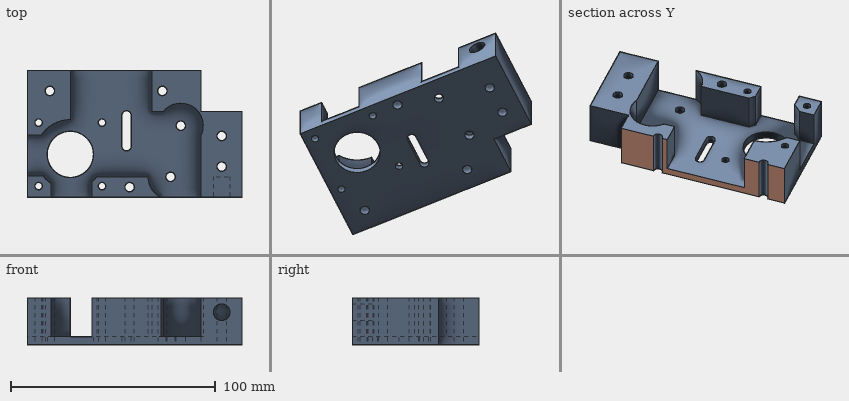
import cadquery as cq

LENGTH = 105.0
WIDTH = 62.0
HEIGHT = 23.0
FLOOR = 4.0

END_LENGTH = 20.0
END_WIDTH = 42.0
END_X = LENGTH - END_LENGTH

MOTOR_X = 21.0
MOTOR_Y = 21.0
MOTOR_BORE_D = 22.5
MOTOR_CLEARANCE_R = 17.0
MOTOR_SCREW_PITCH = 31.0
MOTOR_SCREW_D = 3.5

BACK_LEFT_FRONT_Y = 30.5
FRONT_LEFT_DEPTH = 10.5
FRONT_MIDDLE_DEPTH = 10.0
FRONT_LEFT_LENGTH = 11.5
FRONT_MIDDLE_START_X = 31.5
FRONT_MIDDLE_END_X = 65.5
BACK_RIGHT_START_X = 61.0

PULLEY_R = 11.0
REAR_PULLEY_X = 75.0
REAR_PULLEY_Y = 35.0
PULLEY_CENTERS = [(REAR_PULLEY_X, REAR_PULLEY_Y), (70.0, 10.0)]

BOLT_D = 4.5
BLOCK_BOLTS = [(11.0, 52.0), (66.0, 52.0), (50.0, 5.0)]
END_BOLT_YS = [15.0, 30.0]
SLOT_X = 48.5
SLOT_CENTER_Y = 32.5
SLOT_LENGTH = 19.5

ROD_X = END_X + END_LENGTH / 2
ROD_Z = 16.0
ROD_D = 8.1
ROD_DEPTH = 10.0


def box(x_start, x_end, y_start, y_end, z_start, z_end):
    """Box between two opposite corners."""
    size = (x_end - x_start, y_end - y_start, z_end - z_start)
    return cq.Workplane("XY").box(*size, centered=False).translate((x_start, y_start, z_start))


def block(x_start, x_end, y_start, y_end):
    """Full-height block; it shares the floor's underside."""
    return box(x_start, x_end, y_start, y_end, 0, HEIGHT)


def vertical_cylinder(points, diameter, z_start):
    """Cylinders on the given points, from z_start up to the top."""
    plane = cq.Workplane("XY", origin=(0, 0, z_start))
    return plane.pushPoints(points).circle(diameter / 2).extrude(HEIGHT - z_start)


def make_body():
    """Floor with its standing blocks."""
    body = box(0, END_X, 0, WIDTH, 0, FLOOR)
    body = body.union(block(END_X, LENGTH, 0, END_WIDTH))
    body = body.union(block(0, MOTOR_X, BACK_LEFT_FRONT_Y, WIDTH))
    body = body.union(block(0, FRONT_LEFT_LENGTH, 0, FRONT_LEFT_DEPTH))
    body = body.union(block(FRONT_MIDDLE_START_X, FRONT_MIDDLE_END_X, 0, FRONT_MIDDLE_DEPTH))
    body = body.union(block(BACK_RIGHT_START_X, END_X, END_WIDTH, WIDTH))
    return body.union(block(REAR_PULLEY_X, END_X, REAR_PULLEY_Y, WIDTH))


def cut_pockets(body):
    """Round clearances above the floor for the motor and the pulleys."""
    body = body.cut(vertical_cylinder([(MOTOR_X, MOTOR_Y)], 2 * MOTOR_CLEARANCE_R, FLOOR))
    return body.cut(vertical_cylinder(PULLEY_CENTERS, 2 * PULLEY_R, FLOOR))


def cut_motor_holes(body):
    """Central bore and the four motor screws."""
    half_pitch = MOTOR_SCREW_PITCH / 2
    screws = [
        (MOTOR_X + x_side * half_pitch, MOTOR_Y + y_side * half_pitch)
        for x_side in (-1, 1)
        for y_side in (-1, 1)
    ]
    body = body.cut(vertical_cylinder([(MOTOR_X, MOTOR_Y)], MOTOR_BORE_D, 0))
    return body.cut(vertical_cylinder(screws, MOTOR_SCREW_D, 0))


def cut_bolts_and_slot(body):
    """Through bolt holes and the slot in the floor."""
    end_bolts = [(ROD_X, y) for y in END_BOLT_YS]
    body = body.cut(vertical_cylinder(BLOCK_BOLTS + end_bolts + PULLEY_CENTERS, BOLT_D, 0))
    slot_plane = cq.Workplane("XY").center(SLOT_X, SLOT_CENTER_Y)
    return body.cut(slot_plane.slot2D(SLOT_LENGTH, BOLT_D, 90).extrude(HEIGHT))


def cut_rod_socket(body):
    """Blind hole along +Y that stops short of the end bolts."""
    socket_plane = cq.Workplane("XZ", origin=(ROD_X, 0, ROD_Z))
    return body.cut(socket_plane.circle(ROD_D / 2).extrude(-ROD_DEPTH))


result = make_body()
result = cut_pockets(result)
result = cut_motor_holes(result)
result = cut_bolts_and_slot(result)
result = cut_rod_socket(result)